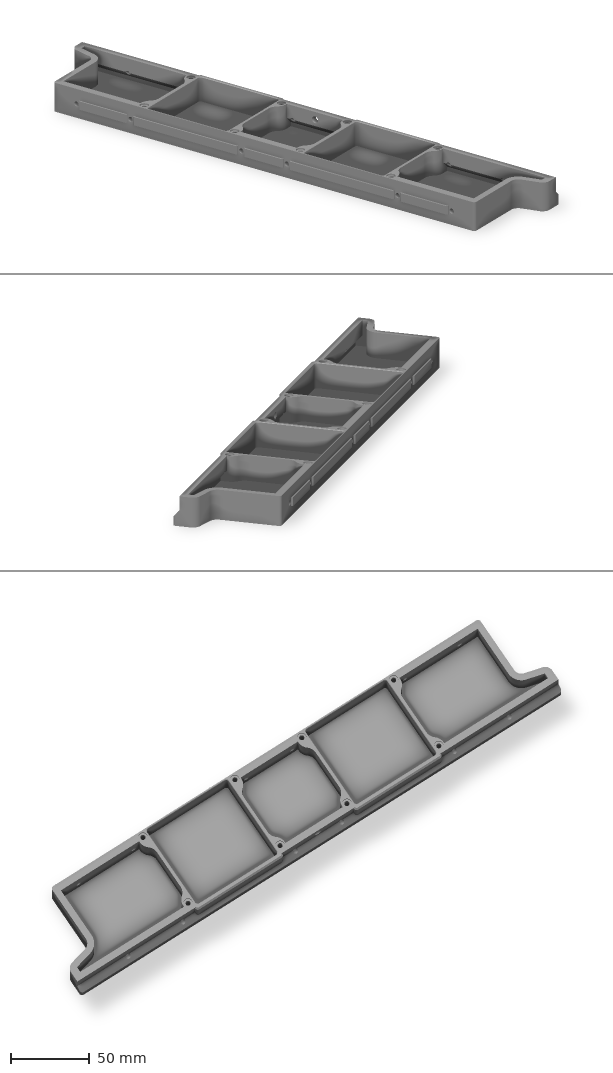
import cadquery as cq
LENGTH = 366.2
HEIGHT = 20.0
TOTAL_DEPTH = 67.0
PAD_DEPTH = 1.0
DEPTH = TOTAL_DEPTH - PAD_DEPTH

FLANGE_THICKNESS = 1.0
FLOOR_Z = 3.0

TRAY_LENGTH = 326.0
WING_TIP_Y = 50.0
WING_ROOT_Y = 45.0
WING_RADIUS = 5.5
CORNER_RADIUS = 2.0
WALL = 4.5
FRONT_WALL = 5.0
END_WALL = 5.0

FOOT_DEPTH = 4.5
FOOT_HEIGHT = 6.0
BACK_Y = DEPTH - FOOT_DEPTH
SLOPE_TOP = FOOT_HEIGHT + FOOT_DEPTH

BAY_X = 60.5
BAY_LENGTH = 62.0
BAY_FRONT_Y = 1.0
BAY_BACK_Y = 60.5
BAY_RADIUS = 2.0
BAY_RIM_CHAMFER = 0.5
DIVIDER = 2.2
BULGE_BACK_Y = 63.7
BULGE_RADIUS = 2.0
BULGE_CHAMFER = 1.0

SCREW_SPACING = 70.0
SCREW_FRONT_Y = 4.0
SCREW_BACK_Y = 56.5
SCREW_DIAMETER = 3.3
SCREW_HEAD_DIAMETER = 6.0
SCREW_HEAD_DEPTH = 1.0
BOSS_WIDTH = 5.5
BOSS_STRAIGHT = 0.7
BOSS_BLEND = 11.7

HOLE_DIAMETER = 3.4
HOLE_Z = 9.7
HOLE_OFFSETS = [17.5, 103.3, 145.0]
PAD_HEIGHT = 6.0
PAD_GAP = 2.5
PAD_END_CHAMFER = 0.7
CABLE_HOLE_DIAMETER = 4.8
CABLE_HOLE_Z = 14.5

CLEARANCE = 3.5
SIDES = (-1, 1)
BAY_CENTRES = [side * BAY_X for side in SIDES]
HOLE_XS = sorted(side * offset for side in SIDES for offset in HOLE_OFFSETS)


def block(x_length, y_min, y_max, z_min, z_max):
    """Box centred on x = 0 between the given y and z limits."""
    return (
        cq.Workplane("XY", origin=(0, y_min, z_min))
        .box(x_length, y_max - y_min, z_max - z_min, centered=(True, False, False))
    )


def outline_prism():
    """Plan outline with its two wings, at full height."""
    end_x, side_x = LENGTH / 2, TRAY_LENGTH / 2
    corners = [
        (-side_x, 0), (side_x, 0), (side_x, WING_ROOT_Y), (end_x, WING_TIP_Y),
        (end_x, DEPTH), (-end_x, DEPTH), (-end_x, WING_TIP_Y), (-side_x, WING_ROOT_Y),
    ]
    prism = cq.Workplane("XY").polyline(corners).close().extrude(HEIGHT)
    wing_zone = cq.selectors.BoxSelector(
        (-LENGTH, WING_ROOT_Y - CLEARANCE, 0), (LENGTH, WING_TIP_Y + CLEARANCE, HEIGHT)
    )
    prism = prism.edges("|Z").edges(wing_zone).fillet(WING_RADIUS)
    return prism.edges("|Z and (<Y or >Y)").fillet(CORNER_RADIUS)


def back_profile(y_min, inset):
    """Length of space from y_min back to the sloped wall, moved forward by inset."""
    upper_y, foot_y = BACK_Y - inset, DEPTH - inset
    top_z = HEIGHT + CLEARANCE
    return (
        cq.Workplane("YZ")
        .polyline([
            (y_min, FLANGE_THICKNESS), (foot_y, FLANGE_THICKNESS), (foot_y, FOOT_HEIGHT),
            (upper_y, SLOPE_TOP), (upper_y, top_z), (y_min, top_z),
        ])
        .close()
        .extrude(LENGTH / 2 - (END_WALL if inset else 0), both=True)
    )


def make_cavity(prism):
    """Space inside the walls, open at the top and down to the flange."""
    inner_wire = prism.faces("<Z").wires().val().offset2D(-WALL)[0]
    inner = cq.Solid.extrudeLinear(inner_wire, [], cq.Vector(0, 0, HEIGHT + CLEARANCE))
    return back_profile(FRONT_WALL, WALL).intersect(cq.Workplane(inner))


def make_divider(bay_x, side):
    """Bay on one side with its divider, swelling into screw bosses front and back."""
    face_x = bay_x + side * (BAY_LENGTH / 2 + DIVIDER)
    boss_x = face_x + side * BOSS_WIDTH
    middle_x = (face_x + boss_x) / 2
    front_y = FRONT_WALL + BOSS_STRAIGHT
    back_y = BACK_Y - WALL - BOSS_STRAIGHT
    return (
        cq.Workplane("XY", origin=(0, 0, FLOOR_Z))
        .moveTo(bay_x, 0)
        .lineTo(boss_x, 0)
        .lineTo(boss_x, front_y)
        .tangentArcPoint((middle_x, front_y + BOSS_BLEND / 2), relative=False)
        .tangentArcPoint((face_x, front_y + BOSS_BLEND), relative=False)
        .lineTo(face_x, back_y - BOSS_BLEND)
        .tangentArcPoint((middle_x, back_y - BOSS_BLEND / 2), relative=False)
        .tangentArcPoint((boss_x, back_y), relative=False)
        .lineTo(boss_x, DEPTH)
        .lineTo(bay_x, DEPTH)
        .close()
        .extrude(HEIGHT + CLEARANCE - FLOOR_Z)
    )


def make_bulge(bay_x):
    """Rounded block that carries the back wall around a bay."""
    bulge = block(BAY_LENGTH + 2 * DIVIDER, BAY_FRONT_Y + FRONT_WALL, BULGE_BACK_Y, FLOOR_Z, HEIGHT)
    bulge = bulge.edges("|Z and >Y").fillet(BULGE_RADIUS)
    return bulge.edges(">Z and >Y").chamfer(BULGE_CHAMFER).translate((bay_x, 0, 0))


def cut_bay(body, bay_x):
    """Square bay with rounded corners and a small chamfer around its rim."""
    bay = block(BAY_LENGTH, BAY_FRONT_Y, BAY_BACK_Y, FLOOR_Z, HEIGHT).edges("|Z").fillet(BAY_RADIUS)
    body = body.cut(bay.translate((bay_x, 0, 0)))
    half_length = BAY_LENGTH / 2 + BAY_RIM_CHAMFER
    rim_zone = cq.selectors.BoxSelector(
        (bay_x - half_length, BAY_FRONT_Y - BAY_RIM_CHAMFER, HEIGHT - BAY_RIM_CHAMFER),
        (bay_x + half_length, BAY_BACK_Y + BAY_RIM_CHAMFER, HEIGHT + BAY_RIM_CHAMFER),
    )
    return body.edges(rim_zone).chamfer(BAY_RIM_CHAMFER)


def make_pad(start_x, end_x):
    """Raised pad on the front face between two neighbouring cross holes."""
    length = end_x - start_x - 2 * PAD_GAP
    pad = block(length, -PAD_DEPTH, 0, HOLE_Z - PAD_HEIGHT / 2, HOLE_Z + PAD_HEIGHT / 2)
    return pad.edges("|Z and <Y").chamfer(PAD_END_CHAMFER).translate(((start_x + end_x) / 2, 0, 0))


def cross_holes():
    return (
        cq.Workplane("XZ")
        .pushPoints([(x, HOLE_Z) for x in HOLE_XS])
        .circle(HOLE_DIAMETER / 2)
        .extrude(-DEPTH)
    )


def cable_hole():
    """Hole through the back wall only, midway between the bays."""
    return (
        cq.Workplane("XZ", origin=(0, DEPTH / 2, CABLE_HOLE_Z))
        .circle(CABLE_HOLE_DIAMETER / 2)
        .extrude(-DEPTH / 2)
    )


def cut_screw_holes(body):
    points = [
        (bay_x + side * SCREW_SPACING / 2, y)
        for bay_x in BAY_CENTRES
        for side in SIDES
        for y in (SCREW_FRONT_Y, SCREW_BACK_Y)
    ]
    return (
        body.faces(">Z").workplane(origin=(0, 0, HEIGHT))
        .pushPoints(points)
        .cboreHole(SCREW_DIAMETER, SCREW_HEAD_DIAMETER, SCREW_HEAD_DEPTH, HEIGHT - FLOOR_Z)
    )


def make_base(prism, cavity):
    flange = prism.intersect(block(LENGTH, 0, DEPTH, 0, FLANGE_THICKNESS))
    plug = cavity.intersect(block(LENGTH, 0, DEPTH, FLANGE_THICKNESS, FLOOR_Z))
    return flange.union(plug)


def make_housing(prism, cavity):
    body = prism.intersect(back_profile(0, 0))
    hollow = cavity
    for bay_x in BAY_CENTRES:
        body = body.union(make_bulge(bay_x))
        for side in SIDES:
            hollow = hollow.cut(make_divider(bay_x, side))
    body = body.cut(hollow)
    for bay_x in BAY_CENTRES:
        body = cut_bay(body, bay_x)
    for start_x, end_x in zip(HOLE_XS, HOLE_XS[1:]):
        body = body.union(make_pad(start_x, end_x))
    body = body.cut(cross_holes()).cut(cable_hole())
    return cut_screw_holes(body)


tray_prism = outline_prism()
tray_cavity = make_cavity(tray_prism)
base = make_base(tray_prism, tray_cavity)
housing = make_housing(tray_prism, tray_cavity)

result = cq.Compound.makeCompound([housing.val(), base.val()])